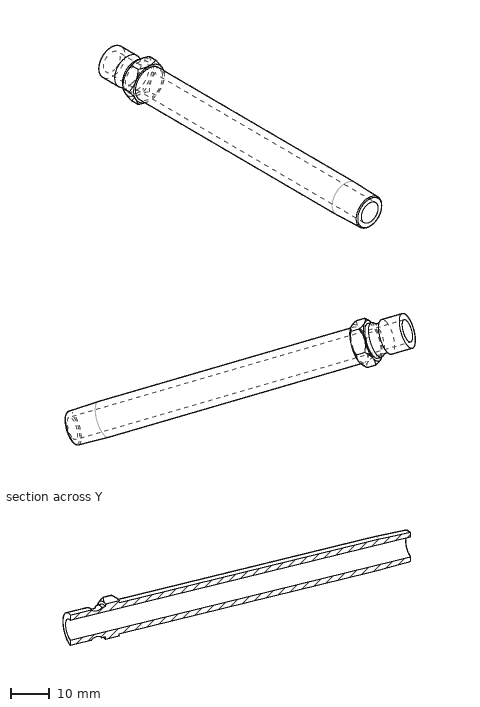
import cadquery as cq
import math

total_length = 97.0
pipe_diameter = 9.7
spigot_diameter = 9.4
bore_diameter = 6.0

groove_start = 6.0
groove_width = 2.9
groove_depth = 0.7

hex_start = 10.0
hex_width = 4.0
hex_across_flats = 11.0
hex_chamfer_length = 0.8

taper_length = 9.0
taper_ratio = 1 / 16
end_chamfer_length = 0.3
end_chamfer_height = 0.3

pipe_radius = pipe_diameter / 2
spigot_radius = spigot_diameter / 2
hex_corner_diameter = hex_across_flats / math.cos(math.radians(30))


def make_pipe():
    """Revolve the outer pipe profile, with the groove and the tapered end."""
    groove_end = groove_start + groove_width
    groove_bottom = (groove_start + groove_width / 2, spigot_radius - groove_depth)
    chamfer_start = total_length - end_chamfer_length
    chamfer_radius = pipe_radius - (taper_length - end_chamfer_length) * taper_ratio / 2
    profile = (
        cq.Workplane("XY")
        .lineTo(0, spigot_radius)
        .lineTo(groove_start, spigot_radius)
        .threePointArc(groove_bottom, (groove_end, spigot_radius))
        .lineTo(hex_start, spigot_radius)
        .lineTo(hex_start, pipe_radius)
        .lineTo(total_length - taper_length, pipe_radius)
        .lineTo(chamfer_start, chamfer_radius)
        .lineTo(total_length, chamfer_radius - end_chamfer_height)
        .lineTo(total_length, 0)
        .close()
    )
    return profile.revolve(360, (0, 0, 0), (1, 0, 0))


def make_hexagon():
    """Make the hexagon with flats facing +/-Z and both ends turned conical."""
    prism = (
        cq.Workplane("YZ", origin=(hex_start, 0, 0))
        .polygon(6, hex_corner_diameter)
        .extrude(hex_width)
    )
    hex_end = hex_start + hex_width
    face_radius = hex_across_flats / 2
    corner_radius = hex_corner_diameter / 2
    turned_envelope = (
        cq.Workplane("XY")
        .moveTo(hex_start, 0)
        .lineTo(hex_start, face_radius)
        .lineTo(hex_start + hex_chamfer_length, corner_radius)
        .lineTo(hex_end - hex_chamfer_length, corner_radius)
        .lineTo(hex_end, face_radius)
        .lineTo(hex_end, 0)
        .close()
        .revolve(360, (0, 0, 0), (1, 0, 0))
    )
    return prism.intersect(turned_envelope)


bore = cq.Workplane("YZ").circle(bore_diameter / 2).extrude(total_length)

result = make_pipe().union(make_hexagon()).cut(bore)